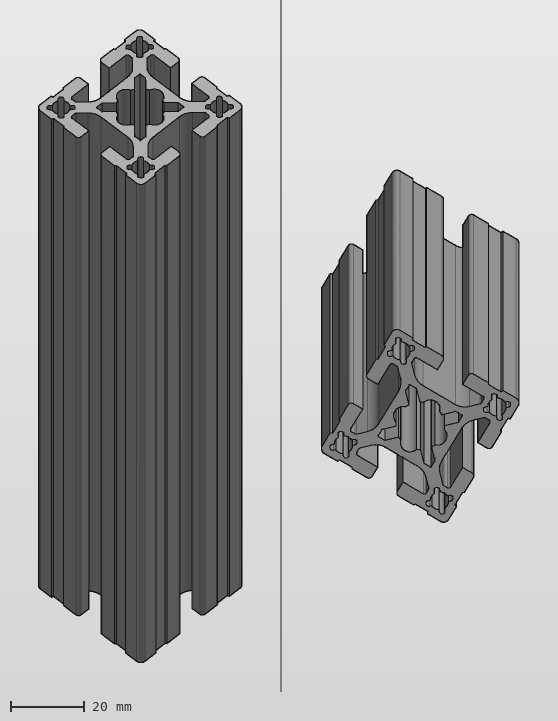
import cadquery as cq
length = 200.0
side = 40.0
half = side / 2
corner_radius = 1.5

slot_opening = 8.0
lip_thickness = 4.2
lip_radius = 1.0
slot_floor = 10.0
cavity_half_width = 11.0
web_offset = 2.8
floor_radius = 5.0
cavity_end_radius = 0.5

lip_recess = 0.2
groove_recess = 0.5
groove_inner = 9.8
groove_outer = 14.0
groove_slope = 0.2

core_radius = 6.5
corner_lobe_reach = 8.5
corner_lobe_offset = 2.2
side_lobe_reach = 8.0
side_lobe_radius = 2.5

corner_hole_place = 15.2
corner_hole_diameter = 5.0
corner_hole_lobe_width = 1.5
corner_hole_lobe_reach = 3.8


def prism(points):
    """Extrude a closed XY outline over the full length."""
    return cq.Workplane("XY").polyline(points).close().extrude(length)


def round_edges(body, radius, places):
    """Fillet the lengthwise edges at (x, y) and at its mirror image in the YZ plane."""
    for x, y in places:
        for mirrored_x in (x, -x):
            body = body.edges(cq.NearestToPointSelector((mirrored_x, y, length / 2))).fillet(radius)
    return body


def mirrored(points):
    """Complete an outline given on the +X side with its mirror image."""
    return points + [(-x, y) for x, y in reversed(points)]


def around_axis(body):
    """Join four copies of a body, a quarter turn apart about the Z axis."""
    copies = body
    for turn in range(1, 4):
        copies = copies.union(body.rotate((0, 0, 0), (0, 0, 1), 90 * turn))
    return copies


def slot_cutter():
    """T-slot of the +Y side, with its undercut cavity."""
    lip_inside = half - lip_thickness
    floor_corner = (slot_floor - web_offset, slot_floor)
    flank_end = (cavity_half_width, cavity_half_width + web_offset)
    cavity_corner = (cavity_half_width, lip_inside)
    cavity = prism(mirrored([floor_corner, flank_end, cavity_corner]))
    cavity = round_edges(cavity, floor_radius, [floor_corner])
    cavity = round_edges(cavity, cavity_end_radius, [flank_end, cavity_corner])
    opening = prism(mirrored([(slot_opening / 2, slot_floor), (slot_opening / 2, half)]))
    return cavity.union(opening)


def face_cutter():
    """Shallow recess of the +Y face, deepest in the two grooves, with the rounded lip edges."""
    lip_face = half - lip_recess
    groove_face = half - groove_recess
    lip_edge = slot_opening / 2
    return (
        cq.Workplane("XY")
        .moveTo(groove_outer + groove_slope, half)
        .lineTo(groove_outer, groove_face)
        .lineTo(groove_inner + groove_slope, groove_face)
        .lineTo(groove_inner, lip_face)
        .lineTo(lip_edge + lip_radius, lip_face)
        .radiusArc((lip_edge, lip_face - lip_radius), -lip_radius)
        .lineTo(-lip_edge, lip_face - lip_radius)
        .radiusArc((-lip_edge - lip_radius, lip_face), -lip_radius)
        .lineTo(-groove_inner, lip_face)
        .lineTo(-groove_inner - groove_slope, groove_face)
        .lineTo(-groove_outer, groove_face)
        .lineTo(-groove_outer - groove_slope, half)
        .close()
        .extrude(length)
    )


def core_cutter():
    """Round core hole with a square-ended lobe to each corner and a round one to each side."""
    hole = cq.Workplane("XY").circle(core_radius).extrude(length)
    lobe_start = corner_lobe_reach - corner_lobe_offset
    corner_lobe = prism([
        (0, corner_lobe_offset),
        (lobe_start, corner_lobe_reach),
        (corner_lobe_reach, corner_lobe_reach),
        (corner_lobe_reach, lobe_start),
        (corner_lobe_offset, 0),
    ])
    side_lobe = (
        cq.Workplane("XY")
        .center(0, side_lobe_reach - side_lobe_radius)
        .circle(side_lobe_radius)
        .extrude(length)
    )
    return hole.union(around_axis(corner_lobe)).union(around_axis(side_lobe))


def corner_hole_cutter():
    """Round hole in the +X +Y corner with four round-ended diagonal lobes."""
    hole = cq.Workplane("XY").circle(corner_hole_diameter / 2).extrude(length)
    lobe_span = 2 * corner_hole_lobe_reach
    for angle in (45, -45):
        lobe_pair = cq.Workplane("XY").slot2D(lobe_span, corner_hole_lobe_width, angle).extrude(length)
        hole = hole.union(lobe_pair)
    return hole.translate((corner_hole_place, corner_hole_place, 0))


result = cq.Workplane("XY").rect(side, side).extrude(length).edges("|Z").fillet(corner_radius)
result = result.cut(around_axis(slot_cutter()))
result = result.cut(around_axis(face_cutter()))
result = result.cut(core_cutter())
result = result.cut(around_axis(corner_hole_cutter()))